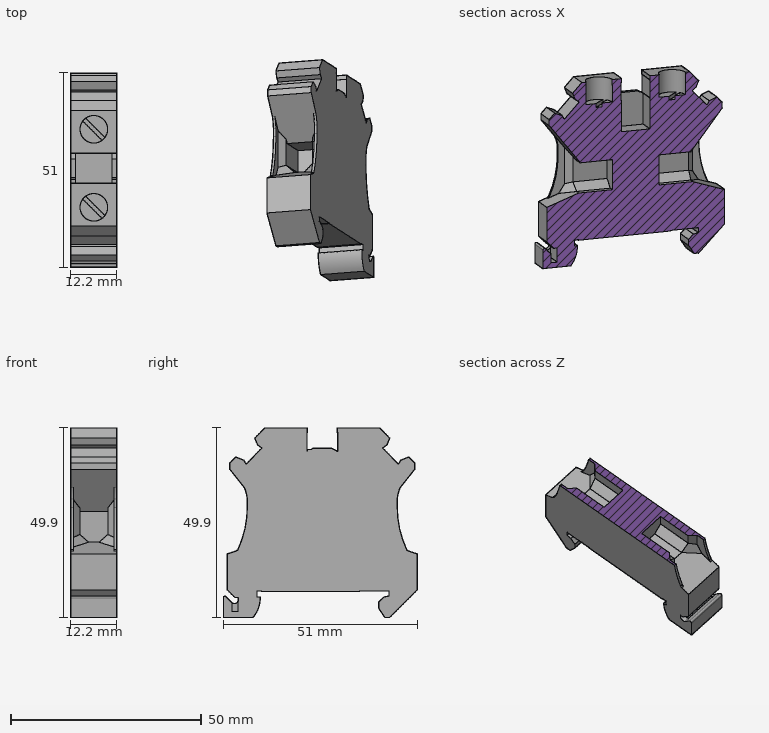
import cadquery as cq


width = 12.15
height = 49.85
body_half = 25.0
latch_reach = 26.0
base_z = 6.95
shoulder_z = 7.3
sill_z = 16.75

tower_inner = 3.95
tower_outer = 15.15
tower_nose = (17.75, 47.1)
tower_chin = (17.05, 45.4)
notch_top = (15.9, 44.5)
notch_bottom = (20.0, 40.35)
lip_height = 1.15
lip_overhang = 0.075

wing_heel = (20.6, 41.35)
wing_peak = (22.75, 42.25)
wing_tip = 24.35
wing_tip_top = 40.6
wing_tip_bottom = 38.95
wing_slope = 1.26

waist_half = 19.75
waist_top = 31.2
waist_bottom = 28.95
waist_bend_start = 34.2
waist_bend_middle = (20.0, 32.7)
waist_end = (22.2, 17.9)
sill_inner = (22.6, 17.55)

entry_wall = 0.7
throat_wall = 2.4
throat_y = 16.25
mouth_y = throat_y + throat_wall - entry_wall
tunnel_floor = 19.8
tunnel_ceiling = 27.85
tunnel_chamfer_across = 2.3
tunnel_chamfer_up = 2.05
facet_drop = 0.75

hook_toe = 16.4
hook_nose = 14.8
hook_nose_bottom = 2.45
hook_nose_top = 4.1
hook_crest = (16.15, 5.4)
hook_heel = 17.5
hook_heel_z = 5.7

latch_neck = -17.1
catch_y = -16.25
catch_z = 5.4
catch_bulge = (-16.7, 2.65)
latch_toe = -18.2
latch_tip_z = 5.2

release_inner = -22.1
release_top = 5.25
release_ramp_top = (-25.3, 5.5)
release_ramp_foot = (-23.7, 3.95)
release_bottom = (-22.9, 3.7)
release_arc_end_z = 4.55
release_floor = 1.55
release_wall = 1.45

screw_y = 10.25
screw_diameter = 7.25
screw_depth = 6.1
slot_width = 1.05
slot_depth = 1.0
slot_angle = -45

well_wall = 1.3
well_depth = 9.2
rim_z = 44.5
rim_low_front = 44.15
rim_low_back = 43.75
back_dip_start = 2.4
front_dip_start = -2.45
front_dip_floor_start = -2.9

pad_depth = 0.15
pad_front = -15.95
pad_back = 9.8

sill_slope = (sill_inner[1] - sill_z) / (body_half - sill_inner[0])
tunnel_end = screw_y - screw_diameter / 2


def wing_underside_y(z):
    """Y of the sloping underside of the wing at height z."""
    return wing_tip - (wing_tip_bottom - z) / wing_slope


def sill_y(z):
    """Y of the sloping sill below the wire entry at height z."""
    return body_half - (z - sill_z) / sill_slope


def both_ends(shape):
    """The shape together with its mirror image on the -Y end."""
    return shape.union(shape.mirror("XZ"))


def side_plane():
    """Y-Z sketch plane lying on the -X face."""
    return cq.Workplane("YZ", origin=(-width / 2, 0, 0))


def half_body():
    return (
        side_plane()
        .moveTo(0, base_z)
        .lineTo(0, rim_z)
        .lineTo(tower_inner, rim_z)
        .lineTo(tower_inner, height)
        .lineTo(tower_outer, height)
        .lineTo(*tower_nose)
        .lineTo(*tower_chin)
        .lineTo(*notch_top)
        .lineTo(*notch_bottom)
        .lineTo(*wing_heel)
        .lineTo(*wing_peak)
        .lineTo(wing_tip, wing_tip_top)
        .lineTo(wing_tip, wing_tip_bottom)
        .lineTo(wing_underside_y(waist_bend_start), waist_bend_start)
        .threePointArc(waist_bend_middle, (waist_half, waist_top))
        .lineTo(waist_half, waist_bottom)
        .tangentArcPoint(waist_end, relative=False)
        .lineTo(*sill_inner)
        .lineTo(body_half, sill_z)
        .lineTo(body_half, shoulder_z)
        .lineTo(body_half - (shoulder_z - base_z), base_z)
        .close()
        .extrude(width)
    )


def fixed_foot():
    """Hook on the +Y end; its outer face falls at 45 degrees from the shoulder."""
    points = [
        (body_half - (shoulder_z - base_z), base_z),
        (body_half - shoulder_z, 0),
        (hook_toe, 0),
        (hook_nose, hook_nose_bottom),
        (hook_nose, hook_nose_top),
        hook_crest,
        (hook_heel, hook_heel_z),
        (hook_heel, base_z),
    ]
    return side_plane().polyline(points).close().extrude(width)


def latch_foot():
    """Spring latch on the -Y end, with a round-bottomed release slot and a rounded tip."""
    foot = (
        side_plane()
        .moveTo(latch_neck, base_z)
        .lineTo(latch_neck, catch_z)
        .lineTo(catch_y, catch_z)
        .threePointArc(catch_bulge, (latch_toe, 0))
        .lineTo(-latch_reach, 0)
        .lineTo(-latch_reach, latch_tip_z)
        .tangentArcPoint(release_ramp_top, relative=False)
        .lineTo(*release_ramp_foot)
        .threePointArc(release_bottom, (release_inner, release_arc_end_z))
        .lineTo(release_inner, release_top)
        .lineTo(-body_half + shoulder_z - release_top, release_top)
        .lineTo(-body_half + shoulder_z - base_z, base_z)
        .close()
        .extrude(width)
    )
    return foot.cut(release_pocket())


def release_pocket():
    """Deeper part of the release slot, open at +X and stopped by a wall at -X."""
    return (
        cq.Workplane("YZ", origin=(release_wall - width / 2, 0, 0))
        .moveTo(release_inner, release_top)
        .lineTo(release_inner, release_floor)
        .lineTo(release_ramp_foot[0], release_floor)
        .lineTo(*release_ramp_foot)
        .close()
        .extrude(width - release_wall)
    )


def underside_pad():
    return (
        side_plane()
        .moveTo(pad_front, base_z - pad_depth)
        .lineTo(pad_back, base_z - pad_depth)
        .lineTo(pad_back, base_z)
        .lineTo(pad_front, base_z)
        .close()
        .extrude(width)
    )


def corner_block():
    """Solid below the slanted facet in the -X lower corner of an entry mouth."""
    block_size = 2 * width
    left = throat_wall - width / 2
    upper = cq.Vector(left, throat_y, tunnel_floor + tunnel_chamfer_up)
    lower = cq.Vector(left + tunnel_chamfer_across, sill_y(tunnel_floor), tunnel_floor)
    outer = cq.Vector(entry_wall - width / 2, mouth_y, upper.z - facet_drop)
    facet = cq.Plane(upper, xDir=lower - upper, normal=(lower - upper).cross(outer - upper))
    return cq.Workplane(facet).rect(block_size, block_size).extrude(-block_size)


def entry_mouth():
    """Flared opening between the wing underside and the sill."""
    inner = sill_y(tunnel_floor)
    opening = (
        side_plane()
        .moveTo(wing_tip, wing_tip_bottom)
        .lineTo(wing_underside_y(tunnel_ceiling), tunnel_ceiling)
        .lineTo(inner, tunnel_floor)
        .lineTo(body_half, sill_z)
        .close()
        .extrude(width)
    )
    throat_half = width / 2 - throat_wall
    mouth_half = width / 2 - entry_wall
    plan = [
        (throat_half, tunnel_end),
        (throat_half, throat_y),
        (mouth_half, mouth_y),
        (mouth_half, body_half),
    ]
    mirrored_plan = [(-x, y) for x, y in reversed(plan)]
    flare = cq.Workplane("XY").polyline(plan + mirrored_plan).close().extrude(height)
    corner = corner_block()
    return opening.intersect(flare).cut(corner).cut(corner.mirror("YZ"))


def entry_tunnel():
    """Straight wire tunnel with bevelled lower corners."""
    half = width / 2 - throat_wall
    floor_half = half - tunnel_chamfer_across
    bevel_z = tunnel_floor + tunnel_chamfer_up
    section = [
        (-half, tunnel_ceiling),
        (-half, bevel_z),
        (-floor_half, tunnel_floor),
        (floor_half, tunnel_floor),
        (half, bevel_z),
        (half, tunnel_ceiling),
    ]
    length = throat_y - tunnel_end
    return (
        cq.Workplane("XZ", origin=(0, tunnel_end, 0))
        .polyline(section)
        .close()
        .extrude(-length)
    )


def screw_hole():
    """Blind round hole with a driver slot across the screw head at its floor."""
    floor_z = height - screw_depth
    slot_floor_z = floor_z - slot_depth
    bore = (
        cq.Workplane("XY", origin=(0, screw_y, slot_floor_z))
        .circle(screw_diameter / 2)
        .extrude(screw_depth + slot_depth)
    )
    head = (
        cq.Workplane("XY", origin=(0, screw_y, slot_floor_z))
        .circle(screw_diameter / 2)
        .extrude(slot_depth)
    )
    slot = (
        cq.Workplane("XY", origin=(0, screw_y, slot_floor_z))
        .transformed(rotate=(0, 0, slot_angle))
        .rect(screw_diameter, slot_width)
        .extrude(slot_depth)
    )
    return bore.cut(head.cut(slot))


def central_well():
    return (
        cq.Workplane("XY", origin=(0, 0, rim_z - well_depth))
        .rect(width - 2 * well_wall, 2 * tower_inner)
        .extrude(well_depth)
    )


def rim_dips():
    """Low spots at both ends of the rim beside the well."""
    back = [(back_dip_start, rim_z), (tower_inner, rim_low_back), (tower_inner, rim_z)]
    front = [
        (front_dip_start, rim_z),
        (front_dip_floor_start, rim_low_front),
        (-tower_inner, rim_low_front),
        (-tower_inner, rim_z),
    ]
    dip_back = side_plane().polyline(back).close().extrude(width)
    dip_front = side_plane().polyline(front).close().extrude(width)
    return dip_back.union(dip_front)


def tower_reliefs():
    """Shallow recess in each tower's inner face, leaving a lip at the top."""
    rim = cq.Workplane("XY").rect(width, 2 * tower_inner).extrude(rim_z)
    return (
        cq.Workplane("XY", origin=(0, 0, rim_low_back))
        .rect(width, 2 * (tower_inner + lip_overhang))
        .extrude(height - lip_height - rim_low_back)
        .cut(rim)
    )


body = both_ends(half_body()).union(fixed_foot()).union(latch_foot()).union(underside_pad())
entries = both_ends(entry_mouth().union(entry_tunnel()))
screw = screw_hole()
screws = screw.union(screw.translate((0, -2 * screw_y, 0)))
result = (
    body.cut(entries)
    .cut(screws)
    .cut(central_well())
    .cut(rim_dips())
    .cut(tower_reliefs())
)